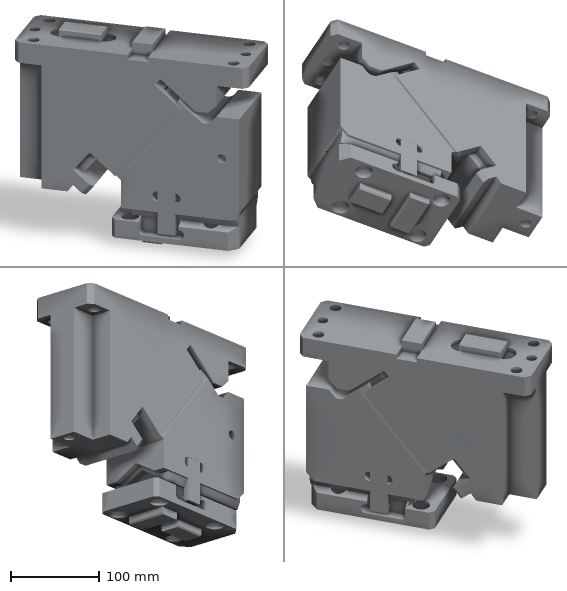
import cadquery as cq
import math

width = 85.0
half_width = width / 2
corner_cut = 6.0

incline = 50.0
slide_origin = (204.7, 177.3)
slide_bottom = -124.0
along_dir = (math.cos(math.radians(incline)), math.sin(math.radians(incline)))
off_dir = (-along_dir[1], along_dir[0])


def slide_point(along, off):
    """X, Z of a point given in the inclined slide frame."""
    x = slide_origin[0] + along * along_dir[0] + off * off_dir[0]
    z = slide_origin[1] + along * along_dir[1] + off * off_dir[1]
    return (x, z)


def off_at_height(along, z):
    """Offset at which a line square to the slide reaches the height z."""
    return (z - slide_origin[1] - along * along_dir[1]) / off_dir[1]


def box(x0, x1, y0, y1, z0, z1):
    """Box between two opposite corners."""
    return cq.Workplane("XY").box(x1 - x0, y1 - y0, z1 - z0, centered=False).translate((x0, y0, z0))


def side_plate(points, y0, y1):
    """Plate with an X-Z outline, standing between y0 and y1."""
    return cq.Workplane("XZ", origin=(0, y1, 0)).polyline(points).close().extrude(y1 - y0)


taper_angle = 10.0
taper_height = 12.8
taper_half = half_width - taper_height * math.tan(math.radians(taper_angle))
tongue_half = 33.0
tongue_top = 30.6
channel_top = 33.0


def guide(bottom, top, height):
    """Tapered guide with a raised tongue, running along the incline."""
    start = slide_point(bottom, 0)
    plane = cq.Plane(
        origin=(start[0], 0, start[1]),
        xDir=(0, 1, 0),
        normal=(along_dir[0], 0, along_dir[1]),
    )
    half = [
        (half_width, 0),
        (taper_half, taper_height),
        (tongue_half, taper_height),
        (tongue_half, height),
    ]
    other_half = [(-y, off) for y, off in reversed(half)]
    return cq.Workplane(plane).polyline(half + other_half).close().extrude(top - bottom)


holder_length = 277.0
holder_bottom = 58.7
plate_top = 234.2
plate_thickness = 25.0
plate_bottom = plate_top - plate_thickness
arm_end = 240.4
arm_bottom = 174.8
arm_cut = 10.0
holder_edge = 4.2
holder_end = -125.5
slot_low = -5.5
slot_high = 5.0
hook_top = -156.0
hook_bottom = -170.5
hook_tip = 14.0
hook_root = 32.0
hook_cut = 5.0
foot_end = 64.0
column_depth = 33.0
column_half = 17.3
recess_end = 44.0
recess_floor = 30.0

holder_outline = [
    (0, holder_bottom),
    (foot_end, holder_bottom),
    slide_point(hook_bottom, hook_root),
    slide_point(hook_bottom, hook_tip),
    slide_point(hook_top, hook_tip),
    slide_point(hook_top, channel_top),
    slide_point(holder_end, channel_top),
    slide_point(holder_end, holder_edge),
    slide_point(slot_low, holder_edge),
    slide_point(slot_low, channel_top),
    slide_point(slot_high, channel_top),
    slide_point(slot_high, off_at_height(slot_high, arm_bottom)),
    (arm_end - arm_cut, arm_bottom),
    (arm_end, arm_bottom + arm_cut),
    (arm_end, plate_bottom),
    (arm_end, plate_top),
    (0, plate_top),
]
holder = side_plate(holder_outline, -half_width, half_width)

plate = box(0, holder_length, -half_width, half_width, plate_bottom, plate_top)
holder = holder.cut(box(0, arm_end, -half_width, half_width, plate_bottom, plate_top))
holder = holder.union(plate.edges("|Z").chamfer(corner_cut))

holder = holder.cut(guide(holder_end, slot_high, channel_top))

recess_spans = [(slot_low, slot_high), (hook_top, holder_end)]
for side in (-1, 1):
    inner, outer = sorted((side * column_half, side * half_width))
    holder = holder.cut(box(0, column_depth, inner, outer, holder_bottom, plate_bottom))
    inner, outer = sorted((side * recess_floor, side * half_width))
    for low, high in recess_spans:
        recess = [
            slide_point(low, holder_edge),
            slide_point(high, holder_edge),
            slide_point(high, recess_end),
            slide_point(low, recess_end),
        ]
        holder = holder.cut(side_plate(recess, inner, outer))

    tip = slide_point(hook_bottom, hook_tip)
    hook_plane = cq.Plane(
        origin=(tip[0], 0, tip[1]),
        xDir=(0, 1, 0),
        normal=(along_dir[0], 0, along_dir[1]),
    )
    tip_corner = [
        (side * half_width, 0),
        (side * half_width, hook_cut),
        (side * (half_width - hook_cut), 0),
    ]
    holder = holder.cut(cq.Workplane(hook_plane).polyline(tip_corner).close().extrude(hook_top - hook_bottom))

key_width = 25.0
key_length = 50.0
key_cut = 1.2
top_key_top = 243.0
pocket_bottom = plate_top - 5.8
long_key_x = 69.6
pocket_length = 77.0
cross_key_x = 147.1
groove_width = 24.4
cross_key_width = 23.8

pocket = cq.Workplane("XY", origin=(long_key_x, 0, pocket_bottom)).slot2D(pocket_length, key_width)
holder = holder.cut(pocket.extrude(plate_top - pocket_bottom))
groove_half = groove_width / 2
holder = holder.cut(box(cross_key_x - groove_half, cross_key_x + groove_half,
                        -half_width, half_width, pocket_bottom, plate_top))
long_key = box(long_key_x - key_length / 2, long_key_x + key_length / 2,
               -key_width / 2, key_width / 2, pocket_bottom, top_key_top)
holder = holder.union(long_key.edges(">Z and |X").chamfer(key_cut))
cross_half = cross_key_width / 2
holder = holder.union(box(cross_key_x - cross_half, cross_key_x + cross_half,
                          -key_length / 2, key_length / 2, pocket_bottom, top_key_top))

bolt_diameter = 13.5
dowel_diameter = 12.4
bolt_y = 30.2
bolt_places = [(x, y) for x in (20.0, 257.0) for y in (-bolt_y, bolt_y)]
dowel_places = [(12.2, 0), (262.0, 0)]
for places, diameter in ((bolt_places, bolt_diameter), (dowel_places, dowel_diameter)):
    holder = holder.cut(cq.Workplane("XY").pushPoints(places).circle(diameter / 2).extrude(plate_top))

slider_left = 127.4
slider_right = 267.4
slider_bottom = 46.2
slider_top = 171.2
slider_cut = 10.0
valley_end = 240.4
valley_radius = 10.0
valley_off = (valley_end - slide_origin[0]) * off_dir[0] + (slider_top - slide_origin[1]) * off_dir[1]
left_off = (slider_left - slide_origin[0] - slide_bottom * along_dir[0]) / off_dir[0]

slider_outline = [
    (slider_left, slider_bottom),
    (slider_right - slider_cut, slider_bottom),
    (slider_right, slider_bottom + slider_cut),
    (slider_right, slider_top),
    (valley_end, slider_top),
    slide_point(0, valley_off),
    slide_point(0, 0),
    slide_point(slide_bottom, 0),
    slide_point(slide_bottom, left_off),
]
slider = side_plate(slider_outline, -half_width, half_width)
valley_x, valley_z = slide_point(0, valley_off)
slider = slider.edges(cq.NearestToPointSelector((valley_x, 0, valley_z))).fillet(valley_radius)
slider = slider.union(guide(slide_bottom, 0, tongue_top))

roof_angle = 30.0
roof_slope = math.tan(math.radians(roof_angle))
base_top = 31.4
leg_left = 138.7
leg_right = 264.3
leg_bottom = 36.9
leg_top_half = 39.9
leg_bottom_half = 35.7
front_groove_half = 28.4
lip_right = 148.7


def gable(x0, x1, half, z):
    """Triangular prism along X with its flat side at the height z."""
    triangle = [(-half, z), (half, z), (0, z + half * roof_slope)]
    return cq.Workplane("YZ", origin=(x0, 0, 0)).polyline(triangle).close().extrude(x1 - x0)


leg_section = [
    (-leg_top_half, slider_bottom),
    (-leg_bottom_half, leg_bottom),
    (leg_bottom_half, leg_bottom),
    (leg_top_half, slider_bottom),
    (leg_top_half, slider_bottom + slider_cut),
    (-leg_top_half, slider_bottom + slider_cut),
]
leg_plane = cq.Workplane("YZ", origin=(leg_left, 0, 0))
slider = slider.union(leg_plane.polyline(leg_section).close().extrude(leg_right - leg_left))
slider = slider.cut(gable(slider_left, lip_right, leg_bottom_half, leg_bottom))
slider = slider.cut(gable(lip_right, slider_right, half_width, base_top))
slider = slider.cut(gable(slider_left, leg_left, front_groove_half, slider_bottom))

strap_left = 170.8
strap_right = 191.1
strap_bottom = 20.0
strap_top = 71.5
strap_face = 42.3
strap_back = 36.0
recess_length = 33.6
recess_height = 12.1
side_hole = (246.8, 121.0)
side_hole_diameter = 10.4
side_hole_depth = 15.0
drill_tip_angle = 118.0
foot_back = 32.0
foot_top = 27.0

for side in (-1, 1):
    inner, outer = sorted((side * strap_back, side * half_width))
    strap_recess = (
        cq.Workplane("XZ", origin=((strap_left + strap_right) / 2, outer, strap_top - recess_height / 2))
        .slot2D(recess_length, recess_height)
        .extrude(outer - inner)
    )
    slider = slider.cut(strap_recess)
    slider = slider.cut(box(strap_left, strap_right, inner, outer, slider_bottom, strap_top))
    inner, outer = sorted((side * strap_back, side * strap_face))
    slider = slider.union(box(strap_left, strap_right, inner, outer, strap_bottom, strap_top))
    inner, outer = sorted((side * foot_back, side * strap_face))
    slider = slider.union(box(strap_left, strap_right, inner, outer, strap_bottom, foot_top))

drill_radius = side_hole_diameter / 2
drill_tip = drill_radius / math.tan(math.radians(drill_tip_angle / 2))
drill = cq.Solid.makeCylinder(
    drill_radius, side_hole_depth, cq.Vector(side_hole[0], -half_width, side_hole[1]), cq.Vector(0, 1, 0)
)
drill_cone = cq.Solid.makeCone(
    drill_radius, 0, drill_tip,
    cq.Vector(side_hole[0], side_hole_depth - half_width, side_hole[1]), cq.Vector(0, 1, 0)
)
slider = slider.cut(cq.Workplane(drill)).cut(cq.Workplane(drill_cone))

base_left = 115.0
base_right = 264.5
base_bottom = 9.0
flat_top = base_top + 0.4
base_left_cut = 5.0
base_right_cut = 10.0
roof_left = 147.0
ridge_half = 4.0
ridge_top = base_top + (half_width - ridge_half) * roof_slope

base = box(base_left, base_right, -half_width, half_width, base_bottom, base_top)
roof = gable(base_left, base_right, half_width, base_top)
roof = roof.cut(box(base_left, roof_left, -half_width, half_width, flat_top, slider_top))
roof = roof.cut(box(roof_left, base_right, -half_width, half_width, ridge_top, slider_top))
base = base.union(roof)

for side in (-1, 1):
    for x, inward, size in ((base_left, 1, base_left_cut), (base_right, -1, base_right_cut)):
        corner = [
            (x, side * half_width),
            (x + inward * size, side * half_width),
            (x, side * (half_width - size)),
        ]
        base = base.cut(cq.Workplane("XY").polyline(corner).close().extrude(ridge_top))

strap_pocket_left = 148.8
strap_pocket_right = 195.5
undercut_right = 202.2
strap_pocket_bottom = 15.7
undercut_top = 27.0
pocket_corner = 4.5
pocket_back = 31.0
undercut_radius = (undercut_top - strap_pocket_bottom) / 2
pocket_outline = (
    cq.Workplane("XZ")
    .moveTo(strap_pocket_left, ridge_top)
    .lineTo(strap_pocket_left, strap_pocket_bottom + pocket_corner)
    .radiusArc((strap_pocket_left + pocket_corner, strap_pocket_bottom), -pocket_corner)
    .lineTo(undercut_right - undercut_radius, strap_pocket_bottom)
    .threePointArc((undercut_right, strap_pocket_bottom + undercut_radius),
                   (undercut_right - undercut_radius, undercut_top))
    .lineTo(strap_pocket_right, undercut_top)
    .lineTo(strap_pocket_right, ridge_top)
    .close()
)
pocket_depth = half_width - pocket_back
strap_pocket = pocket_outline.extrude(pocket_depth)
for outer in (-pocket_back, half_width):
    base = base.cut(strap_pocket.translate((0, outer, 0)))

base_bolt_diameter = 20.0
base_bolt_y = 30.0
base_bolts = [(x, y) for x in (134.0, 231.6) for y in (-base_bolt_y, base_bolt_y)]
base = base.cut(cq.Workplane("XY").pushPoints(base_bolts).circle(base_bolt_diameter / 2).extrude(ridge_top))

base_key_cut = 1.5
base_cross_key_left = 146.2
base_long_key_left = 188.3
base_long_key_length = 40.1
cross_key = box(base_cross_key_left, base_cross_key_left + key_width,
                -key_length / 2, key_length / 2, 0, base_bottom)
base = base.union(cross_key.edges("<Z and |Y").chamfer(base_key_cut))
long_base_key = box(base_long_key_left, base_long_key_left + base_long_key_length,
                    -key_width / 2, key_width / 2, 0, base_bottom)
base = base.union(long_base_key.edges("<Z and |X").chamfer(base_key_cut))

result = cq.Compound.makeCompound([*holder.solids().vals(), *slider.solids().vals(), *base.solids().vals()])